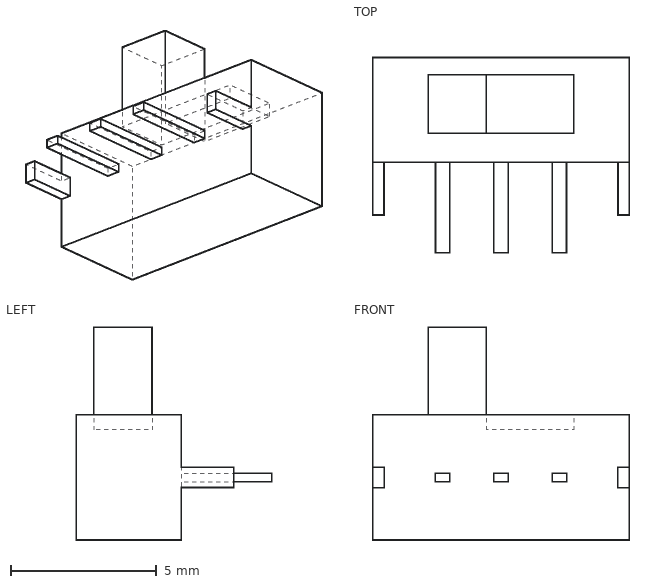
import cadquery as cq

body_length = 8.8
body_depth = 3.6
body_height = 4.3

slot_length = 5.0
slot_width = 2.0
slot_depth = 0.5
slot_back_wall = 0.6

actuator_length = 2.0
actuator_width = slot_width
actuator_rise = 3.0

pin_count = 3
pin_pitch = 2.0
pin_width = 0.5
pin_thickness = 0.3
pin_length = 3.1

leg_width = 0.4
leg_thickness = 0.7
leg_length = 1.8

front_y = -body_depth / 2
slot_y = body_depth / 2 - slot_back_wall - slot_width / 2
slot_floor_z = body_height - slot_depth
terminal_z = body_height / 2


def make_box(length, width, height, x, y, base_z):
    """Block centred on (x, y) and rising from base_z."""
    block = cq.Workplane("XY").box(length, width, height, centered=(True, True, False))
    return block.translate((x, y, base_z))


def make_terminal(width, length, thickness, x):
    """Straight bar projecting from the front face at mid height."""
    base_z = terminal_z - thickness / 2
    return make_box(width, length, thickness, x, front_y - length / 2, base_z)


def make_housing():
    housing = make_box(body_length, body_depth, body_height, 0, 0, 0)
    slot = make_box(slot_length, slot_width, slot_depth, 0, slot_y, slot_floor_z)
    return housing.cut(slot)


def make_actuator():
    x = (actuator_length - slot_length) / 2
    height = slot_depth + actuator_rise
    return make_box(actuator_length, actuator_width, height, x, slot_y, slot_floor_z)


result = make_housing().union(make_actuator())

for index in range(pin_count):
    pin_x = (index - (pin_count - 1) / 2) * pin_pitch
    result = result.union(make_terminal(pin_width, pin_length, pin_thickness, pin_x))

for side in (-1, 1):
    leg_x = side * (body_length - leg_width) / 2
    result = result.union(make_terminal(leg_width, leg_length, leg_thickness, leg_x))